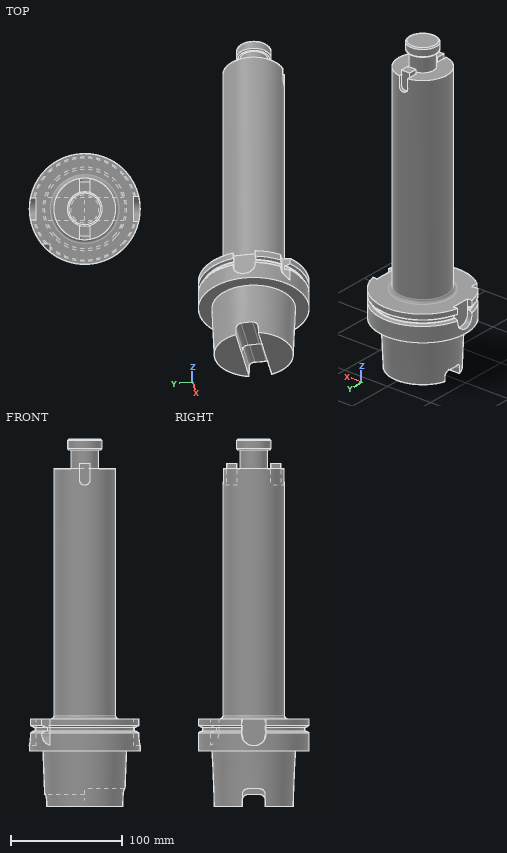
import cadquery as cq
import math


TAPER_LENGTH = 50.0
TAPER_LARGE_RADIUS = 37.7
TAPER_SMALL_RADIUS = 35.7

FLANGE_RADIUS = 50.0
FLANGE_TOP = 79.0
GROOVE_BOTTOM = 66.5
GROOVE_TOP = 73.0
GROOVE_FLOOR_RADIUS = 46.0
GROOVE_FLANK_RISE = 1.5
GROOVE_FLANK_ANGLE = 30

ARBOR_RADIUS = 27.8
ARBOR_TOP = 304.5
ARBOR_BASE_FILLET = 3.15

KEYWAY_BOTTOM = 55.0
KEYWAY_FLOOR_DISTANCE = 44.0
LEFT_KEYWAY_WIDTH = 20.2
RIGHT_KEYWAY_WIDTH = 22.2
NOTCH_WALL_DISTANCE = 31.5
NOTCH_WIDTH = 22.2

DRIVE_SLOT_WIDTH = 20.5
LEFT_SLOT_DEPTH = 11.0
RIGHT_SLOT_DEPTH = 16.2
DRIVE_SLOT_FILLET = 5.0

KEY_WIDTH = 9.5
KEY_INNER_DISTANCE = 15.2
KEY_LENGTH = 9.3
KEY_TOP = 309.0
KEY_BOTTOM = 289.5

STUD_RADIUS = 12.5
HEAD_RADIUS = 15.5
HEAD_HEIGHT = 10.0
HEAD_CHAMFER = 1.3
STUD_TOP = 331


def round_bottom_profile(plane, width, bottom, top):
    """Upright slot outline on a vertical plane, ending below in a half circle."""
    radius = width / 2
    arc_centre = bottom + radius
    return (
        plane
        .moveTo(-radius, top)
        .lineTo(-radius, arc_centre)
        .threePointArc((0, bottom), (radius, arc_centre))
        .lineTo(radius, top)
        .close()
    )


def turned_holder():
    """Taper, grooved flange and arbor as one revolved shape."""
    flank_inner_radius = FLANGE_RADIUS - GROOVE_FLANK_RISE / math.tan(math.radians(GROOVE_FLANK_ANGLE))
    floor_bottom = GROOVE_BOTTOM + GROOVE_FLANK_RISE
    floor_top = GROOVE_TOP - GROOVE_FLANK_RISE
    fillet_inset = ARBOR_BASE_FILLET * (1 - math.sqrt(0.5))
    return (
        cq.Workplane("XZ")
        .lineTo(TAPER_SMALL_RADIUS, 0)
        .lineTo(TAPER_LARGE_RADIUS, TAPER_LENGTH)
        .lineTo(FLANGE_RADIUS, TAPER_LENGTH)
        .lineTo(FLANGE_RADIUS, GROOVE_BOTTOM)
        .lineTo(flank_inner_radius, floor_bottom)
        .lineTo(GROOVE_FLOOR_RADIUS, floor_bottom)
        .lineTo(GROOVE_FLOOR_RADIUS, floor_top)
        .lineTo(flank_inner_radius, floor_top)
        .lineTo(FLANGE_RADIUS, GROOVE_TOP)
        .lineTo(FLANGE_RADIUS, FLANGE_TOP)
        .lineTo(ARBOR_RADIUS + ARBOR_BASE_FILLET, FLANGE_TOP)
        .threePointArc(
            (ARBOR_RADIUS + fillet_inset, FLANGE_TOP + fillet_inset),
            (ARBOR_RADIUS, FLANGE_TOP + ARBOR_BASE_FILLET),
        )
        .lineTo(ARBOR_RADIUS, ARBOR_TOP)
        .lineTo(0, ARBOR_TOP)
        .close()
        .revolve(360, (0, 0, 0), (0, 1, 0))
    )


def flange_keyway(side, width, wall_distance, centre_y=0):
    """Cutter running outward along X from a flat wall; side is -1 or +1."""
    plane = cq.Workplane("YZ", origin=(side * wall_distance, centre_y, 0))
    profile = round_bottom_profile(plane, width, KEYWAY_BOTTOM, FLANGE_TOP)
    return profile.extrude(side * FLANGE_RADIUS)


def drive_slot(side, depth):
    """Cutter from the axis outward along X through the taper's small end."""
    return (
        cq.Workplane("XY")
        .box(FLANGE_RADIUS, DRIVE_SLOT_WIDTH, depth, centered=(True, True, False))
        .edges("|X and >Z")
        .fillet(DRIVE_SLOT_FILLET)
        .translate((side * FLANGE_RADIUS / 2, 0, 0))
    )


def key_prism(side, length, top):
    """Round-bottomed prism running outward along Y; side is -1 or +1."""
    plane = cq.Workplane("XZ", origin=(0, side * KEY_INNER_DISTANCE, 0))
    return round_bottom_profile(plane, KEY_WIDTH, KEY_BOTTOM, top).extrude(-side * length)


def make_holder():
    holder = turned_holder()
    holder = holder.cut(flange_keyway(-1, LEFT_KEYWAY_WIDTH, KEYWAY_FLOOR_DISTANCE))
    holder = holder.cut(flange_keyway(1, RIGHT_KEYWAY_WIDTH, KEYWAY_FLOOR_DISTANCE))
    notch_centre_y = -NOTCH_WALL_DISTANCE - NOTCH_WIDTH / 2
    holder = holder.cut(flange_keyway(-1, NOTCH_WIDTH, NOTCH_WALL_DISTANCE, notch_centre_y))
    holder = holder.cut(drive_slot(-1, LEFT_SLOT_DEPTH))
    holder = holder.cut(drive_slot(1, RIGHT_SLOT_DEPTH))
    for side in (-1, 1):
        holder = holder.cut(key_prism(side, ARBOR_RADIUS, ARBOR_TOP))
    return holder


def make_drive_key(side):
    return key_prism(side, KEY_LENGTH, KEY_TOP)


def make_stud():
    """Plain shank with a wider head chamfered on both rims."""
    head_bottom = STUD_TOP - HEAD_HEIGHT
    shank = (
        cq.Workplane("XY", origin=(0, 0, ARBOR_TOP))
        .circle(STUD_RADIUS)
        .extrude(head_bottom - ARBOR_TOP)
    )
    head = (
        cq.Workplane("XY", origin=(0, 0, head_bottom))
        .circle(HEAD_RADIUS)
        .extrude(HEAD_HEIGHT)
        .edges()
        .chamfer(HEAD_CHAMFER)
    )
    return shank.union(head)


holder = make_holder()
drive_keys = [make_drive_key(side) for side in (-1, 1)]
stud = make_stud()

result = cq.Compound.makeCompound([holder.val(), *[key.val() for key in drive_keys], stud.val()])